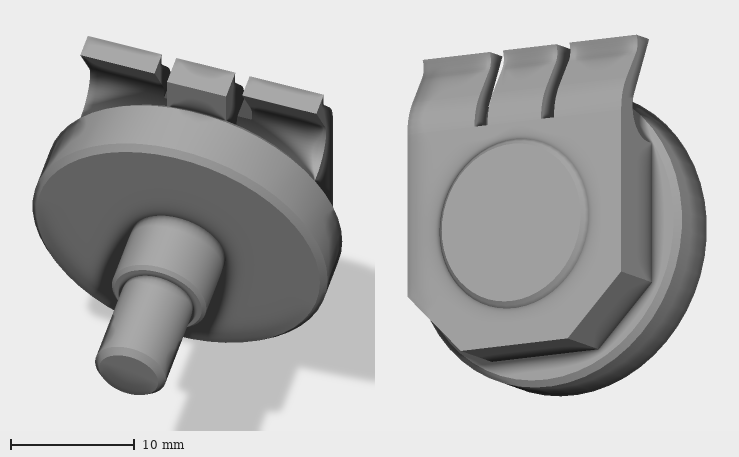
import cadquery as cq
import math

overall_height = 27.5

disc_radius = 25.0 / 2
disc_thickness = 5.0
disc_chamfer = 0.5
block_width = 20.0
block_depth = 5.0
block_top = overall_height - disc_radius
block_bottom = -10.0
corner_chamfer = 5.0

shoulder_level = 8.4
bulge_radius = 5.0
slope_angle = math.radians(33.7)
hollow_radius = 1.5
neck_thickness = 2.36

recess_radius = 2.5
recess_floor = 6.5
recess_depth = 3.15
tip_thickness = 0.5

lug_width = 5.0
slot_width = 1.2

head_base_radius = 6.98
head_height = 0.5
head_face_radius = head_base_radius - head_height
shank_radius = 8.0 / 2
shank_projection = 5.5
shank_chamfer = 0.3
end_radius = 6.0 / 2
end_length = 8.0
end_chamfer = 0.5


def cylinder_forward(radius, start, length):
    """Cylinder about Y running from Y = start toward -Y."""
    return cq.Workplane("XZ", origin=(0, start, 0)).circle(radius).extrude(length)


def arc_point(center, radius, angle):
    """Point on a circle in the YZ plane; the angle is measured from +Y toward +Z."""
    return (center[0] + radius * math.cos(angle), center[1] + radius * math.sin(angle))


def make_block_profile():
    """Side outline of the block in YZ, extruded across its full width."""
    bulge_center = (block_depth - bulge_radius, shoulder_level)
    bulge_middle = arc_point(bulge_center, bulge_radius, slope_angle / 2)
    bulge_end = arc_point(bulge_center, bulge_radius, slope_angle)

    hollow_y = neck_thickness + hollow_radius
    hollow_start_y = hollow_y - hollow_radius * math.cos(slope_angle)
    hollow_start_z = bulge_end[1] + (bulge_end[0] - hollow_start_y) / math.tan(slope_angle)
    hollow_center = (hollow_y, hollow_start_z + hollow_radius * math.sin(slope_angle))
    hollow_middle = arc_point(hollow_center, hollow_radius, math.pi)
    tip_angle = math.pi - math.asin((block_top - hollow_center[1]) / hollow_radius)
    tip_back = arc_point(hollow_center, hollow_radius, tip_angle)

    return (
        cq.Workplane("YZ", origin=(-block_width / 2, 0, 0))
        .moveTo(0, block_bottom)
        .lineTo(block_depth, block_bottom)
        .lineTo(block_depth, shoulder_level)
        .threePointArc(bulge_middle, bulge_end)
        .lineTo(hollow_start_y, hollow_start_z)
        .threePointArc(hollow_middle, tip_back)
        .lineTo(0, block_top)
        .close()
        .extrude(block_width)
    )


def make_recess(start_x, width):
    """Cutter for the hooked recess: a round trough with a slope tangent to it up to the tip."""
    center = (recess_depth - recess_radius, recess_floor + recess_radius)
    tip = (tip_thickness, block_top)
    tip_distance = math.hypot(tip[0] - center[0], tip[1] - center[1])
    tip_direction = math.atan2(tip[1] - center[1], tip[0] - center[0])
    tangent_angle = tip_direction - math.acos(recess_radius / tip_distance)
    trough_end = arc_point(center, recess_radius, tangent_angle)
    trough_middle = arc_point(center, recess_radius, (tangent_angle - math.pi / 2) / 2)
    return (
        cq.Workplane("YZ", origin=(start_x, 0, 0))
        .moveTo(0, recess_floor)
        .lineTo(center[0], recess_floor)
        .threePointArc(trough_middle, trough_end)
        .lineTo(*tip)
        .lineTo(0, block_top)
        .close()
        .extrude(width)
    )


def make_slot(center_x):
    """Cutter for a slot through the full depth, open at the top."""
    height = block_top - shoulder_level
    return cq.Workplane("XY", origin=(center_x, block_depth / 2, shoulder_level)).box(
        slot_width, block_depth, height, centered=(True, True, False)
    )


def make_block():
    block = make_block_profile()
    block = block.faces("<Z").edges("|Y").chamfer(corner_chamfer)
    recess_width = (block_width - lug_width) / 2
    for recess_start in (-block_width / 2, lug_width / 2):
        block = block.cut(make_recess(recess_start, recess_width))
    slot_offset = (lug_width + slot_width) / 2
    for side in (-1, 1):
        block = block.cut(make_slot(side * slot_offset))
    return block


def make_jaw():
    """Disc and block in one piece, bored through for the shank of the pin."""
    disc = cylinder_forward(disc_radius, 0, disc_thickness).edges().chamfer(disc_chamfer)
    bore = cylinder_forward(shank_radius, block_depth, block_depth + disc_thickness)
    return disc.union(make_block()).cut(bore)


def make_head():
    """Tapered head resting on the back face of the block."""
    return (
        cq.Workplane("XZ", origin=(0, block_depth, 0))
        .circle(head_base_radius)
        .workplane(offset=-head_height)
        .circle(head_face_radius)
        .loft(ruled=True)
    )


def make_pin():
    shank_length = block_depth + disc_thickness + shank_projection
    shank = cylinder_forward(shank_radius, block_depth, shank_length)
    shank = shank.faces("<Y").chamfer(shank_chamfer)
    end = cylinder_forward(end_radius, block_depth - shank_length, end_length)
    end = end.faces("<Y").chamfer(end_chamfer)
    return make_head().union(shank).union(end)


jaw = make_jaw()
pin = make_pin()

result = cq.Compound.makeCompound([jaw.solids().val(), pin.solids().val()])